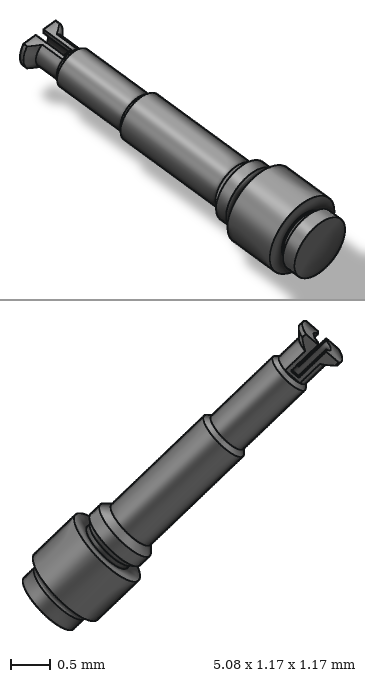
import cadquery as cq

length = 5.08

head_diameter = 0.71
neck_diameter = 0.49
front_shaft_diameter = 0.595
rear_shaft_diameter = 0.72
collar_diameter = 0.915
groove_diameter = 0.735
ring_diameter = 1.17

head_land = 0.065
neck_end = 0.555
fork_thickness = 0.41
slot_width = 0.135
slot_depth = 0.51
bore_diameter = 0.305
bore_depth = 0.61

front_chamfer = 0.06
rear_shaft_start = 1.765
rear_chamfer = 0.065

collar_start = 3.55
collar_front_chamfer = 0.105
collar_land = 0.185
groove_start = 3.925
groove_end = 4.785
groove_chamfer = (collar_diameter - groove_diameter) / 2

ring_start = 3.995
ring_length = 0.765


def make_turned_pin():
    """Revolve the pin's stepped half-profile about the X axis."""
    head_chamfer = (head_diameter - neck_diameter) / 2
    collar_land_start = collar_start + collar_front_chamfer
    stations = [
        (0, head_diameter),
        (head_land, head_diameter),
        (head_land + head_chamfer, neck_diameter),
        (neck_end, neck_diameter),
        (neck_end + front_chamfer, front_shaft_diameter),
        (rear_shaft_start, front_shaft_diameter),
        (rear_shaft_start + rear_chamfer, rear_shaft_diameter),
        (collar_start, rear_shaft_diameter),
        (collar_land_start, collar_diameter),
        (collar_land_start + collar_land, collar_diameter),
        (groove_start, groove_diameter),
        (groove_end, groove_diameter),
        (groove_end + groove_chamfer, collar_diameter),
        (length, collar_diameter),
    ]
    profile = cq.Workplane("XY").moveTo(0, 0)
    for x, diameter in stations:
        profile = profile.lineTo(x, diameter / 2)
    return profile.lineTo(length, 0).close().revolve(360, (0, 0, 0), (1, 0, 0))


def cut_fork_flats(pin):
    """Trim the head and neck to two flats facing up and down."""
    for side in (-1, 1):
        waste = cq.Workplane("XY").box(
            neck_end, head_diameter, head_diameter, centered=(False, True, True)
        )
        offset = side * (fork_thickness + head_diameter) / 2
        pin = pin.cut(waste.translate((0, 0, offset)))
    return pin


def cut_fork_opening(pin):
    """Cut the vertical slot and the axial bore that split the tip into two prongs."""
    slot = cq.Workplane("XY").box(
        slot_depth, slot_width, head_diameter, centered=(False, True, True)
    )
    bore = cq.Workplane("YZ").circle(bore_diameter / 2).extrude(bore_depth)
    return pin.cut(slot).cut(bore)


def make_pin():
    """Build the stepped contact pin with its forked tip."""
    return cut_fork_opening(cut_fork_flats(make_turned_pin()))


def make_ring():
    """Build the plain ring that fits around the groove floor."""
    return (
        cq.Workplane("YZ", origin=(ring_start, 0, 0))
        .circle(ring_diameter / 2)
        .circle(groove_diameter / 2)
        .extrude(ring_length)
    )


pin = make_pin()
ring = make_ring()
result = cq.Compound.makeCompound([pin.solids().val(), ring.val()])